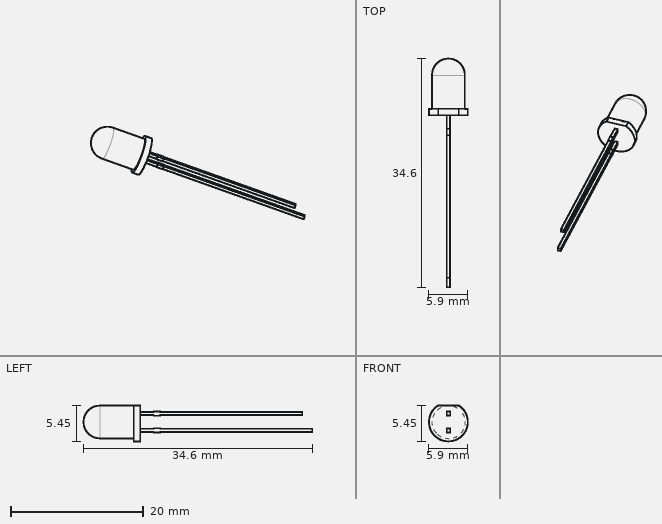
import cadquery as cq
import math


lens_radius = 2.5
lens_height = 8.6
flange_radius = 2.95
flange_thickness = 1.0
flat_height = lens_radius

lead_width = 0.5
lead_pitch = 2.54
long_lead_length = 26.0
short_lead_length = 24.5

stop_start = 2.0
stop_length = 1.0
stop_height = 0.7


def make_lens():
    """Cylinder with a hemispherical end, revolved about the Y axis."""
    dome_start = lens_height - lens_radius
    dome_mid = lens_radius * math.cos(math.pi / 4)
    return (
        cq.Workplane("XY")
        .lineTo(lens_radius, 0)
        .lineTo(lens_radius, dome_start)
        .threePointArc((dome_mid, dome_start + dome_mid), (0, lens_height))
        .close()
        .revolve(axisStart=(0, 0, 0), axisEnd=(0, 1, 0))
    )


def make_flange():
    """Disc at the base of the lens, cut flat on its +Z side."""
    disc = cq.Workplane("XZ").circle(flange_radius).extrude(-flange_thickness)
    flat_cutter = cq.Workplane("XY").box(
        2 * flange_radius,
        flange_thickness,
        flange_radius,
        centered=(True, False, False),
    ).translate((0, 0, flat_height))
    return disc.cut(flat_cutter)


def make_lead(length, z):
    """Square lead running toward -Y at height z, with its stop."""
    wire = cq.Workplane("XZ", origin=(0, 0, z)).rect(lead_width, lead_width).extrude(length)
    stop = (
        cq.Workplane("XZ", origin=(0, -stop_start, z))
        .rect(lead_width, stop_height)
        .extrude(stop_length)
    )
    return wire.union(stop)


result = make_lens().union(make_flange())
for lead_length, lead_z in (
    (short_lead_length, lead_pitch / 2),
    (long_lead_length, -lead_pitch / 2),
):
    result = result.union(make_lead(lead_length, lead_z))